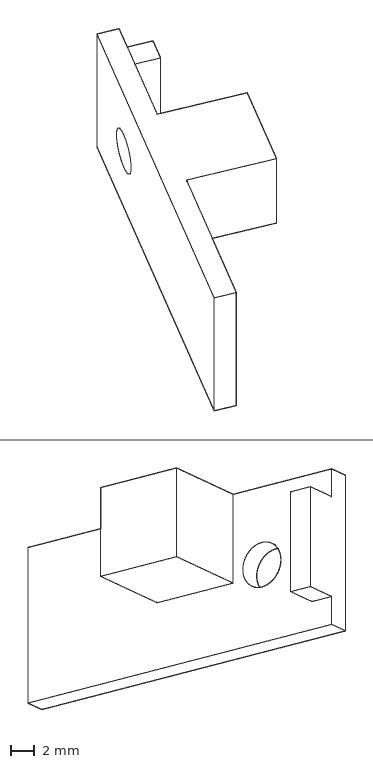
import cadquery as cq

plate_length = 32.0
plate_height = 14.0
plate_thickness = 2.0

hole_diameter = 4.0
hole_x = 7.35

block_size = 8.0
block_left = 10.37

tab_width = 2.08
tab_height = 9.0
tab_projection = 3.0


def box_at(x, y, z, length, depth, height):
    """Box with its lowest corner at (x, y, z)."""
    return cq.Workplane("XY").box(length, depth, height, centered=False).translate((x, y, z))


plate = box_at(0, 0, 0, plate_length, plate_thickness, plate_height)

block = box_at(
    block_left, plate_thickness, plate_height - block_size,
    block_size, block_size, block_size,
)

tab = box_at(
    0, plate_thickness, (plate_height - tab_height) / 2,
    tab_width, tab_projection, tab_height,
)

hole = (
    cq.Workplane("XZ")
    .center(hole_x, plate_height / 2)
    .circle(hole_diameter / 2)
    .extrude(-plate_thickness)
)

result = plate.union(block).union(tab).cut(hole)